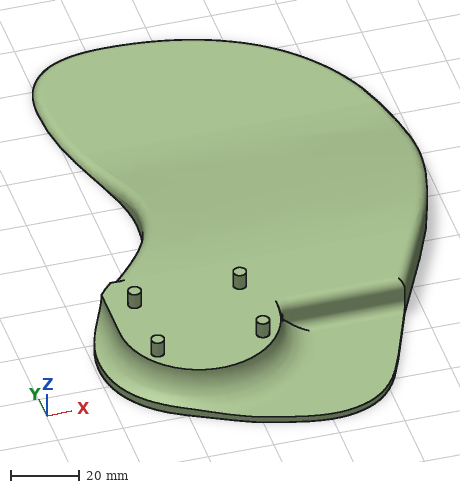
import cadquery as cq

plate_thickness = 2.0
cove_radius = 9.9
deck_height = plate_thickness + cove_radius
pin_height = 5.0

hub_radius = 24.0
pin_diameter = 4.0
pin_spacing_x = 32.1
pin_spacing_y = 23.9

ramp_start_y = 23.7
ramp_end_y = 96.1
ramp_upper_point = (48.5, 9.5)
ramp_lower_point = (72.0, 5.5)
edge_radius = 3.0

corner_x = 27.8
corner_inside_x = 22.8

left_x = -30.6
right_x = 87.5
tip_y = 144.8
tail_y = -42.0

left_shoulder = (-20.0, ramp_start_y)
right_shoulder = (74.5, ramp_start_y)
step_corner = (62.9, 0)
handle_ratio = 0.6
right_side_handle = (
    right_shoulder[0] + handle_ratio * (right_shoulder[0] - step_corner[0]),
    right_shoulder[1] + handle_ratio * (right_shoulder[1] - step_corner[1]),
)

margin = 9.3


def make_outline():
    """Kidney-shaped outline, clockwise from the left shoulder."""
    inner_x, inner_y = (-0.5, 62.0)
    lobe_x, lobe_y = (-13.6, 121.0)
    tip_x = 13.6
    outer_y = 73.3
    rim_curves = [
        [left_shoulder, (-8.4, 35.3), (inner_x, 46.5), (inner_x, inner_y)],
        [(inner_x, inner_y), (inner_x, 80.0), (lobe_x, 95.0), (lobe_x, lobe_y)],
        [(lobe_x, lobe_y), (lobe_x, 140.7), (-0.4, tip_y), (tip_x, tip_y)],
        [(tip_x, tip_y), (62.5, tip_y), (right_x, 113.5), (right_x, outer_y)],
        [(right_x, outer_y), (right_x, 54.3), right_side_handle, right_shoulder],
    ]
    tail_side_end = (54.9, -20.5)
    tail_edge = [(44.6, -37.0), (29.5, tail_y), (11.4, -38.6), (-12.1, -28.2)]
    outline = cq.Workplane("XY")
    for curve in rim_curves:
        outline = outline.moveTo(*curve[0]).bezier(curve)
    return (
        outline
        .lineTo(*step_corner)
        .lineTo(*tail_side_end)
        .spline(tail_edge, tangents=[(-2, -5), (-2, 1)], includeCurrent=True)
        .spline([(left_x, 0), left_shoulder], tangents=[(-2, 1), (1, 1)], includeCurrent=True)
        .close()
    )


def rim_edges(deck):
    """Edges where the deck's upward faces meet its walls."""
    least_upward_slope = 0.5
    upward = [face for face in deck.faces().vals() if face.normalAt().z > least_upward_slope]
    edges = [edge for face in upward for edge in face.Edges()]
    return [edge for edge in edges if sum(edge.isSame(other) for other in edges) == 1]


def make_deck():
    """Raised deck and ramp with a rounded rim, cut away where the hub takes its place."""
    depth_below = margin
    side_profile = (
        cq.Workplane("YZ", origin=(left_x - margin, 0, 0))
        .moveTo(0, -depth_below)
        .lineTo(0, deck_height)
        .lineTo(ramp_start_y, deck_height)
        .spline(
            [ramp_upper_point, ramp_lower_point, (ramp_end_y, plate_thickness)],
            tangents=[(1, 0), (1, 0)],
            includeCurrent=True,
        )
        .lineTo(tip_y + margin, plate_thickness)
        .lineTo(tip_y + margin, -depth_below)
        .close()
        .extrude(right_x - left_x + 2 * margin)
    )
    blank = make_outline().extrude(deck_height + 2 * depth_below).translate((0, 0, -depth_below))
    deck = side_profile.intersect(blank)
    deck = deck.newObject(rim_edges(deck)).fillet(edge_radius)
    hub_space = cq.Workplane("XY").box(
        2 * abs(left_x), ramp_start_y, 4 * deck_height, centered=(True, False, True)
    ).translate((left_x, 0, 0))
    return deck.cut(hub_space)


def cove_profile():
    """Half section of the hub, its side flaring out in a quarter-circle cove."""
    flare_x = hub_radius + cove_radius
    return (
        cq.Workplane("XZ")
        .lineTo(-flare_x, 0)
        .lineTo(-flare_x, plate_thickness)
        .radiusArc((-hub_radius, deck_height), -cove_radius)
        .lineTo(0, deck_height)
        .close()
    )


def make_hub():
    """Round hub continued by a straight flared side up to the ramp."""
    round_part = cove_profile().revolve(360, (0, 0), (0, 1))
    straight_part = cove_profile().extrude(-ramp_start_y)
    return round_part.union(straight_part)


def make_step_cove():
    """Concave round between the tail plate and the deck's end wall."""
    return (
        cq.Workplane("YZ")
        .lineTo(0, plate_thickness + edge_radius)
        .radiusArc((-edge_radius, plate_thickness), edge_radius)
        .lineTo(-edge_radius, 0)
        .close()
        .extrude(right_x)
    )


def make_step_corner():
    """Concave vertical round where the deck's end wall meets the hub, with the rim carried around it."""
    filler = cq.Workplane("XY").box(
        corner_x - corner_inside_x, 2 * edge_radius, deck_height, centered=(False, True, False)
    ).translate((corner_inside_x, 0, 0))
    hollow = (
        cq.Workplane("XZ")
        .moveTo(0, plate_thickness)
        .radiusArc((edge_radius, plate_thickness + edge_radius), -edge_radius)
        .lineTo(edge_radius, deck_height - edge_radius)
        .radiusArc((2 * edge_radius, deck_height), edge_radius)
        .lineTo(0, deck_height)
        .close()
        .revolve(360, (0, 0), (0, 1))
        .translate((corner_x, -edge_radius, 0))
    )
    return filler.cut(hollow)


def make_pins():
    return (
        cq.Workplane("XY", origin=(0, 0, deck_height))
        .rarray(pin_spacing_x, pin_spacing_y, 2, 2)
        .circle(pin_diameter / 2)
        .extrude(pin_height)
    )


outline_prism = make_outline().extrude(deck_height)
behind_step = cq.Workplane("XY").box(4 * right_x, 2 * tip_y, deck_height, centered=(True, False, False))
tail_plate = make_outline().extrude(plate_thickness).cut(behind_step)
hub_and_step = make_hub().union(make_step_cove()).union(make_step_corner())
lower_parts = tail_plate.union(hub_and_step.intersect(outline_prism))
deck = make_deck().intersect(behind_step)
result = lower_parts.union(deck).union(make_pins())